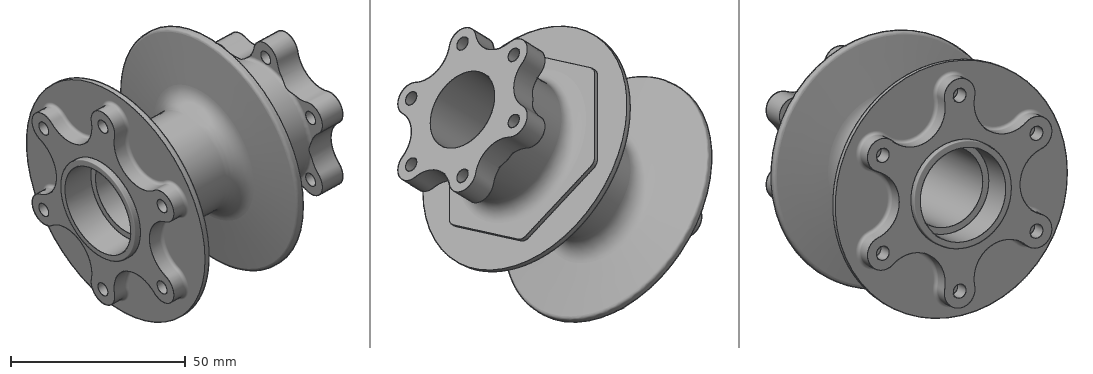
import cadquery as cq
import math

overall_length = 73.0
lobe_count = 6

barrel_radius = 15.95
barrel_fillet = 6.0
flange_radius = 38.0
flange_rim_width = 2.05
flange_rim_fillet = 1.0
flange_slope = math.radians(6.2)
front_flange_y = 6.9
rear_flange_y = 45.1

sleeve_length = 2.0
sleeve_edge_fillet = 0.3
bore_radius = 12.0
bearing_seat_radius = 14.0
bearing_seat_depth = 10.0

lobe_radius = 5.0
lobe_hole_diameter = 4.2
mount_fillet = 1.0
front_lobe_circle = 29.0
front_root_radius = 19.75
front_mount_thickness = front_flange_y - sleeve_length
rear_lobe_circle = 22.0
rear_root_radius = 19.1
rear_mount_thickness = 8.0
rear_mount_y = overall_length - rear_mount_thickness

pad_side_count = 6
pad_flat_distance = 27.05
pad_corner_radius = 3.0
pad_thickness = 1.3
pad_y = rear_flange_y + pad_thickness
neck_radius = 19.0
neck_fillet = 5.0


def polar(radius, angle):
    return radius * math.cos(angle), radius * math.sin(angle)


def quarter_arc_middle(radius):
    """Distance of a quarter arc's midpoint from each of the two lines the arc touches."""
    return radius * (1 - math.cos(math.pi / 4))


def revolve_about_y(profile):
    return profile.close().revolve(360, (0, 0, 0), (0, 1, 0))


def plane_at(y):
    return cq.Workplane("XZ", origin=(0, y, 0))


def lobed_plate(y_start, thickness, lobe_circle, root_radius):
    """Plate whose round lobes blend tangentially into round scallops."""
    half_pitch = math.pi / lobe_count
    along = lobe_circle * math.cos(half_pitch)
    across = lobe_circle * math.sin(half_pitch)
    root_offset = root_radius - along
    scallop_radius = (root_offset**2 + across**2 - lobe_radius**2) / (2 * (lobe_radius - root_offset))
    scallop_circle = root_radius + scallop_radius
    blend = lobe_radius / (lobe_radius + scallop_radius)
    tangent_along = along + blend * (scallop_circle - along)
    tangent_across = across * (1 - blend)
    tangent_circle = math.hypot(tangent_along, tangent_across)
    tangent_angle = math.atan2(tangent_across, tangent_along)

    outline = plane_at(y_start).moveTo(*polar(tangent_circle, -tangent_angle))
    for i in range(lobe_count):
        scallop = 2 * half_pitch * i
        lobe = scallop + half_pitch
        next_scallop = lobe + half_pitch
        outline = outline.threePointArc(
            polar(root_radius, scallop),
            polar(tangent_circle, scallop + tangent_angle),
        )
        outline = outline.threePointArc(
            polar(lobe_circle + lobe_radius, lobe),
            polar(tangent_circle, next_scallop - tangent_angle),
        )
    return outline.close().extrude(-thickness)


def lobe_holes(y_start, depth, lobe_circle):
    first_lobe = 180 / lobe_count
    centres = plane_at(y_start).polarArray(lobe_circle, first_lobe, 360, lobe_count)
    return centres.circle(lobe_hole_diameter / 2).extrude(-depth)


def flange(face_y, inward):
    """Spoke flange with a conical inner side curving into the barrel; inward is +1 or -1 along Y."""
    fillet_centre_r = barrel_radius + barrel_fillet
    cone_end_r = fillet_centre_r - barrel_fillet * math.sin(flange_slope)
    cone_height = flange_rim_width + (flange_radius - cone_end_r) * math.tan(flange_slope)
    barrel_height = cone_height + barrel_fillet * math.cos(flange_slope)
    mid_angle = (math.pi / 2 + flange_slope) / 2
    arc_mid_r = fillet_centre_r - barrel_fillet * math.sin(mid_angle)
    arc_mid_height = barrel_height - barrel_fillet * math.cos(mid_angle)

    def at(height):
        return face_y + inward * height

    profile = (
        cq.Workplane("XY")
        .moveTo(0, at(0))
        .lineTo(flange_radius, at(0))
        .lineTo(flange_radius, at(flange_rim_width))
        .lineTo(cone_end_r, at(cone_height))
        .threePointArc((arc_mid_r, at(arc_mid_height)), (barrel_radius, at(barrel_height)))
        .lineTo(0, at(barrel_height))
    )
    rim_corner = cq.selectors.NearestToPointSelector((0, at(flange_rim_width), 0))
    return revolve_about_y(profile).edges(rim_corner).fillet(flange_rim_fillet)


def front_mount():
    """Lobed plate with a fillet at its foot on the front flange."""
    plate = lobed_plate(sleeve_length, front_mount_thickness, front_lobe_circle, front_root_radius)

    def is_foot_edge(edge):
        on_flange = math.isclose(edge.Center().y, front_flange_y, abs_tol=0.001)
        return on_flange and edge.Length() < flange_radius

    joined = flange(front_flange_y, 1).union(plate)
    return joined.edges().filter(is_foot_edge).fillet(mount_fillet)


def rear_neck():
    """Neck that flares into the hexagonal pad."""
    arc_middle = quarter_arc_middle(neck_fillet)
    profile = (
        cq.Workplane("XY")
        .moveTo(0, pad_y)
        .lineTo(neck_radius + neck_fillet, pad_y)
        .threePointArc(
            (neck_radius + arc_middle, pad_y + arc_middle),
            (neck_radius, pad_y + neck_fillet),
        )
        .lineTo(neck_radius, rear_mount_y)
        .lineTo(0, rear_mount_y)
    )
    return revolve_about_y(profile)


def hexagonal_pad():
    half_side = math.pi / pad_side_count
    corner_distance = pad_flat_distance / math.cos(half_side)
    corners = [polar(corner_distance, half_side * (2 * i + 1)) for i in range(pad_side_count)]
    pad = plane_at(rear_flange_y).polyline(corners).close().extrude(-pad_thickness)
    return pad.edges("|Y").fillet(pad_corner_radius)


def rear_mount():
    """Lobed plate plus the foot fillet on the neck, both trimmed by the same scallops."""
    arc_middle = quarter_arc_middle(mount_fillet)
    foot_y = rear_mount_y - mount_fillet
    outer_radius = rear_lobe_circle + 2 * lobe_radius
    blank_profile = (
        cq.Workplane("XY")
        .moveTo(0, foot_y)
        .lineTo(neck_radius, foot_y)
        .threePointArc(
            (neck_radius + arc_middle, rear_mount_y - arc_middle),
            (neck_radius + mount_fillet, rear_mount_y),
        )
        .lineTo(outer_radius, rear_mount_y)
        .lineTo(outer_radius, overall_length)
        .lineTo(0, overall_length)
    )
    lobes = lobed_plate(foot_y, overall_length - foot_y, rear_lobe_circle, rear_root_radius)
    return revolve_about_y(blank_profile).intersect(lobes)


def barrel():
    return plane_at(front_flange_y).circle(barrel_radius).extrude(front_flange_y - rear_flange_y)


def front_sleeve():
    sleeve = plane_at(0).circle(barrel_radius).extrude(-sleeve_length)
    return sleeve.faces("<Y").edges().fillet(sleeve_edge_fillet)


def bores():
    through = plane_at(0).circle(bore_radius).extrude(-overall_length)
    bearing_seat = plane_at(0).circle(bearing_seat_radius).extrude(-bearing_seat_depth)
    return through.union(bearing_seat)


result = (
    front_mount()
    .union(front_sleeve())
    .union(barrel())
    .union(flange(rear_flange_y, -1))
    .union(hexagonal_pad())
    .union(rear_neck())
    .union(rear_mount())
    .cut(bores())
    .cut(lobe_holes(sleeve_length, front_mount_thickness, front_lobe_circle))
    .cut(lobe_holes(rear_mount_y, rear_mount_thickness, rear_lobe_circle))
)